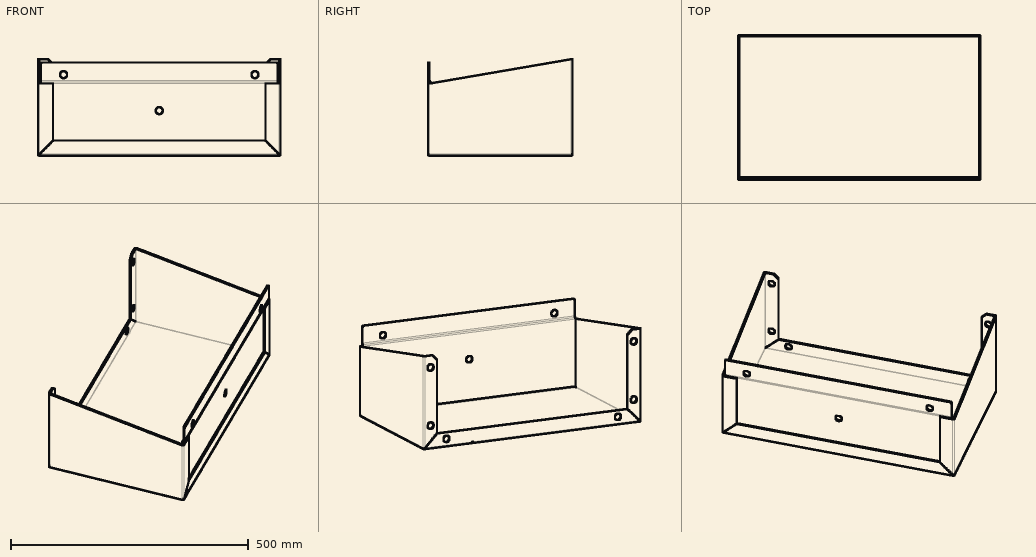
import cadquery as cq
import math

width = 511.0
depth = 304.5
height = 203.5
front_height = 152.5

sheet = 3.0
inner_bend = 0.5
outer_bend = inner_bend + sheet

flange = 31.5
flange_chamfer = 10.0
miter_gap = 0.3

hole_diameter = 14.5
mount_hole_x = 201.5
back_rim_hole_z = 17.5
side_hole_x = 238.5
side_hole_heights = (50.5, 177.5)

panel_width = 499.0
panel_bottom = 6.0
panel_top = 197.0
panel_hole_z = 95.0
tab_hole_z = 170.5
tab_corner = 4.0
step_bottom = front_height
step_rise = 6.0
step_lag = 1.0


def holes_along_y(points, y_start, length):
    """Round cutters along +Y at the given (x, z) points."""
    plane = cq.Workplane("XZ", origin=(0, y_start, 0))
    return plane.pushPoints(points).circle(hole_diameter / 2).extrude(-length)


def bent_shell():
    """Closed-sided pan with rounded bends, cut to the sloping top line."""
    outer = cq.Workplane("XY").box(width, depth, height, centered=(True, True, False))
    outer = outer.edges("|Z or <Z").fillet(outer_bend)
    inner = (
        cq.Workplane("XY", origin=(0, 0, sheet))
        .box(width - 2 * sheet, depth - 2 * sheet, height, centered=(True, True, False))
        .edges("|Z or <Z")
        .fillet(inner_bend)
    )
    shell = outer.cut(inner).translate((0, depth / 2, 0))
    side_outline = [
        (0, 0),
        (depth, 0),
        (depth, height),
        (depth - outer_bend, height),
        (outer_bend, front_height),
        (0, front_height),
    ]
    envelope = cq.Workplane("YZ").polyline(side_outline).close().extrude(width / 2, both=True)
    return shell.intersect(envelope)


def front_opening():
    """Cutter that leaves three plain flanges on the front wall."""
    half = width / 2 - flange
    return (
        cq.Workplane("XZ")
        .polyline([(-half, flange), (half, flange), (half, height), (-half, height)])
        .close()
        .extrude(-2 * sheet)
    )


def back_opening():
    """Cutter that leaves three back flanges, the side ones chamfered at the top."""
    half = width / 2 - flange
    outline = [
        (-half, flange),
        (half, flange),
        (half, height - flange_chamfer),
        (half + flange_chamfer, height),
        (-half - flange_chamfer, height),
        (-half, height - flange_chamfer),
    ]
    plane = cq.Workplane("XZ", origin=(0, depth - 2 * sheet, 0))
    return plane.polyline(outline).close().extrude(-2 * sheet)


def miter_slits(y_start):
    """Thin diagonal slits between the bottom flange and the side flanges."""
    half_gap = miter_gap / math.sqrt(2)
    outline = [
        (width / 2 - outer_bend, outer_bend - half_gap),
        (width / 2 - outer_bend, outer_bend + half_gap),
        (width / 2 - flange, flange + half_gap),
        (width / 2 - flange, flange - half_gap),
    ]
    slit = cq.Workplane("XZ", origin=(0, y_start, 0)).polyline(outline).close().extrude(-2 * sheet)
    return slit.union(slit.mirror("YZ"))


def make_tray():
    """Floor, two sloping sides and the flanges, bent from one sheet."""
    tray = bent_shell().cut(front_opening()).cut(back_opening())
    for y_start in (-sheet, depth - sheet):
        tray = tray.cut(miter_slits(y_start))
    back_points = []
    for side in (-1, 1):
        back_points.append((side * mount_hole_x, back_rim_hole_z))
        for hole_z in side_hole_heights:
            back_points.append((side * side_hole_x, hole_z))
    return tray.cut(holes_along_y(back_points, depth - 2 * sheet, 3 * sheet))


def make_panel():
    """Front panel whose upper tab steps forward, flush with the front flanges."""
    back_step_bottom = step_bottom + step_lag
    profile = (
        cq.Workplane("YZ")
        .moveTo(sheet, panel_bottom)
        .lineTo(sheet, step_bottom)
        .tangentArcPoint((sheet / 2, step_bottom + step_rise / 2), relative=False)
        .tangentArcPoint((0, step_bottom + step_rise), relative=False)
        .lineTo(0, panel_top)
        .lineTo(sheet, panel_top)
        .lineTo(sheet, back_step_bottom + step_rise)
        .tangentArcPoint((1.5 * sheet, back_step_bottom + step_rise / 2), relative=False)
        .tangentArcPoint((2 * sheet, back_step_bottom), relative=False)
        .lineTo(2 * sheet, panel_bottom)
        .close()
    )
    panel = profile.extrude(panel_width / 2, both=True)
    panel = panel.edges("|Y and >Z").fillet(tab_corner)
    points = [(-mount_hole_x, tab_hole_z), (mount_hole_x, tab_hole_z), (0, panel_hole_z)]
    return panel.cut(holes_along_y(points, -sheet, 4 * sheet))


tray = make_tray()
panel = make_panel()

result = cq.Compound.makeCompound([tray.val(), panel.val()])